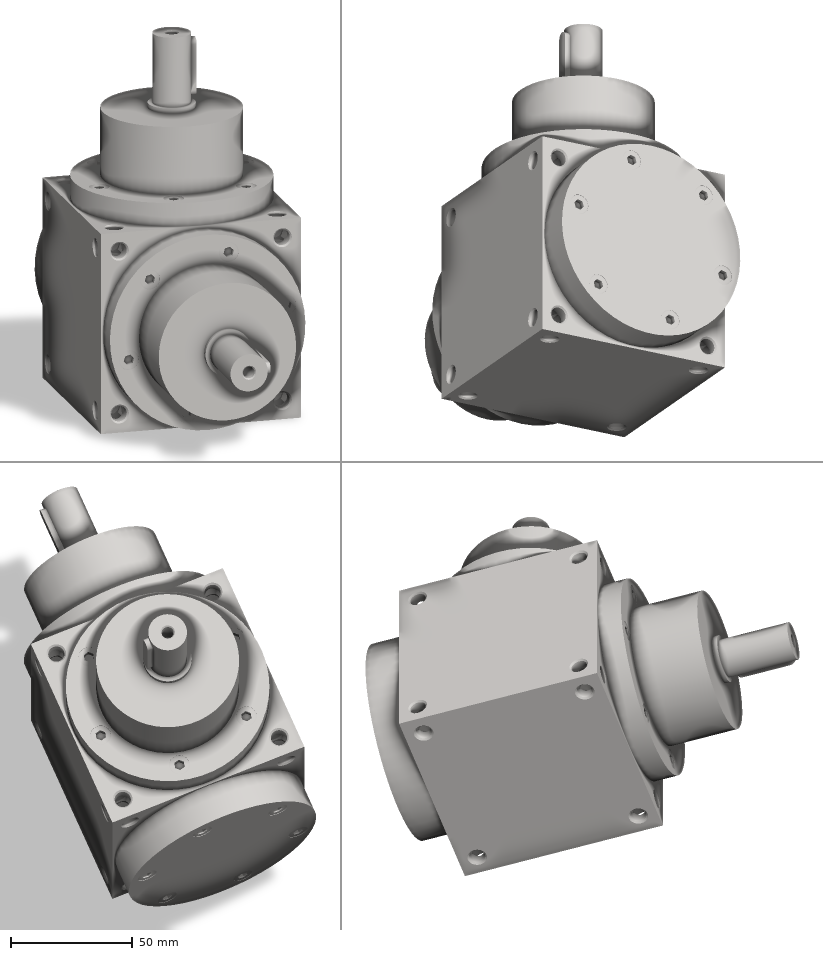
import cadquery as cq
import math

CUBE = 86.0
MOUNT_PITCH = 70.0
MOUNT_BORE = 6.7
MOUNT_MOUTH = 8.0
MOUNT_DEPTH = 12.0
DRILL_TIP_HALF_ANGLE = 59.0

FLANGE_DIAMETER = 84.0
FLANGE_THICKNESS = 10.0
HUB_DIAMETER = 59.0
HUB_LENGTH = 29.0
COVER_THICKNESS = 15.0

SCREW_COUNT = 6
SCREW_CIRCLE_DIAMETER = 70.0
FLANGE_SCREW_ANGLE = 45.0
COVER_SCREW_ANGLE = -45.0
SCREW_HEAD_DIAMETER = 8.5
SCREW_HEAD_SINK = 0.2
SOCKET_FLATS = 4.0
SOCKET_DEPTH = 2.5

SHAFT_DIAMETER = 16.0
SHAFT_LENGTH = 30.0
COLLAR_DIAMETER = 20.0
COLLAR_LENGTH = 2.0
CENTRE_BORE = 5.0
CENTRE_MOUTH = 6.0
CENTRE_DEPTH = 12.0

KEY_LENGTH = 25.0
KEY_WIDTH = 5.0
KEY_HEIGHT = 5.0
KEY_TOP_RADIUS = 10.0

CUBE_FACE = CUBE / 2
FLANGE_FACE = CUBE_FACE + FLANGE_THICKNESS
HUB_FACE = FLANGE_FACE + HUB_LENGTH
COLLAR_FACE = HUB_FACE + COLLAR_LENGTH
SHAFT_END = COLLAR_FACE + SHAFT_LENGTH
COVER_FACE = CUBE_FACE + COVER_THICKNESS

X_AXIS = (1, 0, 0)
Y_AXIS = (0, 1, 0)
PLUS_Z = (X_AXIS, 0)
MINUS_Z = (X_AXIS, 180)
PLUS_X = (Y_AXIS, 90)
MINUS_X = (Y_AXIS, -90)
PLUS_Y = (X_AXIS, -90)
MINUS_Y = (X_AXIS, 90)
ALL_FACES = (PLUS_Z, MINUS_Z, PLUS_X, MINUS_X, PLUS_Y, MINUS_Y)
SHAFT_FACES = (PLUS_Z, PLUS_X)
COVER_SIDE = MINUS_X


def turned(shape, direction):
    """Turn a shape built along +Z about the cube centre to point in a direction."""
    axis, angle = direction
    return shape.rotate((0, 0, 0), axis, angle)


def cylinder(diameter, bottom, top):
    """Cylinder on the Z axis between two heights."""
    return cq.Workplane("XY").workplane(offset=bottom).circle(diameter / 2).extrude(top - bottom)


def countersunk_drilling(bore, mouth, depth, face):
    """Cutter on the Z axis for a countersunk hole drilled down from height `face`."""
    bore_radius = bore / 2
    mouth_radius = mouth / 2
    countersink_depth = mouth_radius - bore_radius
    tip_length = bore_radius / math.tan(math.radians(DRILL_TIP_HALF_ANGLE))
    return (
        cq.Workplane("XZ")
        .moveTo(0, face)
        .lineTo(mouth_radius, face)
        .lineTo(bore_radius, face - countersink_depth)
        .lineTo(bore_radius, face - depth)
        .lineTo(0, face - depth - tip_length)
        .close()
        .revolve(360, (0, 0, 0), (0, 1, 0))
    )


def mount_holes():
    """Cutter for the four corner holes of one cube face."""
    hole = countersunk_drilling(MOUNT_BORE, MOUNT_MOUTH, MOUNT_DEPTH, CUBE_FACE).val()
    return (
        cq.Workplane("XY")
        .rect(MOUNT_PITCH, MOUNT_PITCH, forConstruction=True)
        .vertices()
        .eachpoint(lambda place: hole.moved(place), combine=True)
    )


def screw_recesses(face, first_angle):
    """Cutter for the sunk heads and hexagon sockets of one ring of screws."""
    socket_corners = SOCKET_FLATS / math.cos(math.radians(30))
    places = cq.Workplane("XY").workplane(offset=face).polarArray(
        SCREW_CIRCLE_DIAMETER / 2, first_angle, 360, SCREW_COUNT
    )
    heads = places.circle(SCREW_HEAD_DIAMETER / 2).extrude(-SCREW_HEAD_SINK)
    sockets = places.polygon(6, socket_corners).extrude(-SCREW_HEAD_SINK - SOCKET_DEPTH)
    return heads.union(sockets)


def flange_with_hub():
    flange = cylinder(FLANGE_DIAMETER, CUBE_FACE, FLANGE_FACE)
    hub = cylinder(HUB_DIAMETER, FLANGE_FACE, HUB_FACE)
    flange = flange.union(hub)
    return flange.cut(screw_recesses(FLANGE_FACE, FLANGE_SCREW_ANGLE))


def blind_cover():
    cover = cylinder(FLANGE_DIAMETER, CUBE_FACE, COVER_FACE)
    return cover.cut(screw_recesses(COVER_FACE, COVER_SCREW_ANGLE))


def make_housing():
    """Gear case with its two flanges and the cover."""
    body = cq.Workplane("XY").box(CUBE, CUBE, CUBE)
    for direction in ALL_FACES:
        body = body.cut(turned(mount_holes(), direction))
    for direction in SHAFT_FACES:
        body = body.union(turned(flange_with_hub(), direction))
    return body.union(turned(blind_cover(), COVER_SIDE))


def key():
    """Key on the +Y side of a shaft along Z, midway along the shaft."""
    return (
        cq.Workplane("XZ", origin=(0, KEY_TOP_RADIUS, COLLAR_FACE + SHAFT_LENGTH / 2))
        .slot2D(KEY_LENGTH, KEY_WIDTH, 90)
        .extrude(KEY_HEIGHT)
    )


def make_shaft(direction):
    """Shaft end with collar, key and centre hole, standing on the hub face."""
    collar = cylinder(COLLAR_DIAMETER, HUB_FACE, COLLAR_FACE)
    journal = cylinder(SHAFT_DIAMETER, COLLAR_FACE, SHAFT_END)
    centre_hole = countersunk_drilling(CENTRE_BORE, CENTRE_MOUTH, CENTRE_DEPTH, SHAFT_END)
    shaft = collar.union(journal).union(key()).cut(centre_hole)
    return turned(shaft, direction)


housing = make_housing()
shafts = [make_shaft(direction) for direction in SHAFT_FACES]

result = cq.Compound.makeCompound([housing.val(), *[shaft.val() for shaft in shafts]])